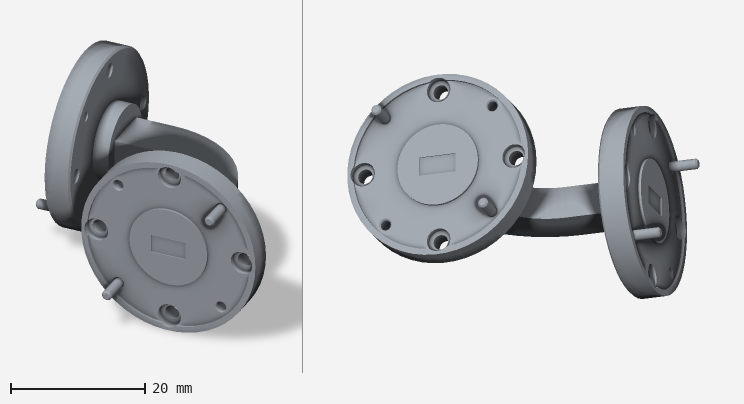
import cadquery as cq
import math

overall_length = 43.55

flange_diameter = 28.58
flange_thickness = 4.1
rear_chamfer = 0.3
collar_diameter = 12.1
collar_length = 2.55

rim_inner_diameter = 26.65
pad_diameter = 12.7
face_recess_depth = 0.45
port_width = 5.7
port_height = 2.87
port_depth = 0.17

pitch_circle_diameter = 23.83
screw_hole_diameter = 2.25
counterbore_diameter = 3.7
counterbore_depth = 1.4
dowel_diameter = 1.55
wide_hole_chamfer = 0.2
narrow_hole_chamfer = 0.15
hole_chamfer_angle = 45
dowel_protrusion = 3.88
dowel_tip_chamfer = 0.25

tube_width = 7.75
tube_height = 4.9
bend_radius = 12.5

wide_pair_angles = (45, 225)
narrow_pair_angles = (135, 315)

dowel_tip_distance = overall_length - flange_diameter / 2
face_distance = dowel_tip_distance - dowel_protrusion
face_floor_distance = face_distance - face_recess_depth
flange_back_distance = face_distance - flange_thickness
collar_end_distance = flange_back_distance - collar_length


def on_pitch_circle(*angles):
    """Points on the pitch circle at the given angles in degrees."""
    radius = pitch_circle_diameter / 2
    return [
        (radius * math.cos(math.radians(angle)), radius * math.sin(math.radians(angle)))
        for angle in angles
    ]


def face_plane(distance):
    """Plane facing -Y at a distance from the origin, with its x along X and its y along Z."""
    return cq.Workplane("XZ", origin=(0, -distance, 0))


def cut_dowel_holes(flange, angles, mouth_chamfer):
    """Through holes on the pitch circle, chamfered where they meet the recessed face."""
    points = on_pitch_circle(*angles)
    holes = (
        face_plane(face_distance)
        .pushPoints(points)
        .circle(dowel_diameter / 2)
        .extrude(-flange_thickness)
    )
    mouths = (
        face_plane(face_floor_distance)
        .pushPoints(points)
        .circle(dowel_diameter / 2 + mouth_chamfer)
        .extrude(-mouth_chamfer, taper=hole_chamfer_angle)
    )
    return flange.cut(holes).cut(mouths)


def make_dowels(angles):
    """Dowels that fill their holes and stand out of the mating face."""
    return (
        face_plane(flange_back_distance)
        .pushPoints(on_pitch_circle(*angles))
        .circle(dowel_diameter / 2)
        .extrude(flange_thickness + dowel_protrusion)
        .faces("<Y")
        .edges()
        .chamfer(dowel_tip_chamfer)
    )


def make_flange():
    """The flange that faces -Y, with its collar and open holes."""
    disc = face_plane(flange_back_distance).circle(flange_diameter / 2).extrude(flange_thickness)
    disc = disc.faces(">Y").edges().chamfer(rear_chamfer)
    collar = face_plane(collar_end_distance).circle(collar_diameter / 2).extrude(collar_length)

    face_ring = (
        face_plane(face_distance)
        .circle(rim_inner_diameter / 2)
        .circle(pad_diameter / 2)
        .extrude(-face_recess_depth)
    )
    port = face_plane(face_distance).rect(port_width, port_height).extrude(-port_depth)

    screw_points = on_pitch_circle(0, 90, 180, 270)
    screw_holes = (
        face_plane(face_distance)
        .pushPoints(screw_points)
        .circle(screw_hole_diameter / 2)
        .extrude(-flange_thickness)
    )
    counterbores = (
        face_plane(face_distance)
        .pushPoints(screw_points)
        .circle(counterbore_diameter / 2)
        .extrude(-counterbore_depth)
    )

    flange = disc.union(collar).cut(face_ring).cut(port)
    flange = flange.cut(screw_holes).cut(counterbores)
    flange = cut_dowel_holes(flange, wide_pair_angles, wide_hole_chamfer)
    return cut_dowel_holes(flange, narrow_pair_angles, narrow_hole_chamfer)


def make_tube():
    """Straight, quarter bend, straight, running between the flange collars."""
    bend_middle = bend_radius * (1 - math.sqrt(0.5))
    path = (
        cq.Workplane("XY")
        .moveTo(0, -collar_end_distance)
        .lineTo(0, -bend_radius)
        .threePointArc((-bend_middle, -bend_middle), (-bend_radius, 0))
        .lineTo(-collar_end_distance, 0)
    )
    return face_plane(collar_end_distance).rect(tube_width, tube_height).sweep(path)


flange = make_flange()
front_end = flange.union(make_dowels(wide_pair_angles))
side_end = flange.union(make_dowels(narrow_pair_angles)).rotate((0, 0, 0), (0, 0, 1), -90)

result = make_tube().union(front_end).union(side_end)